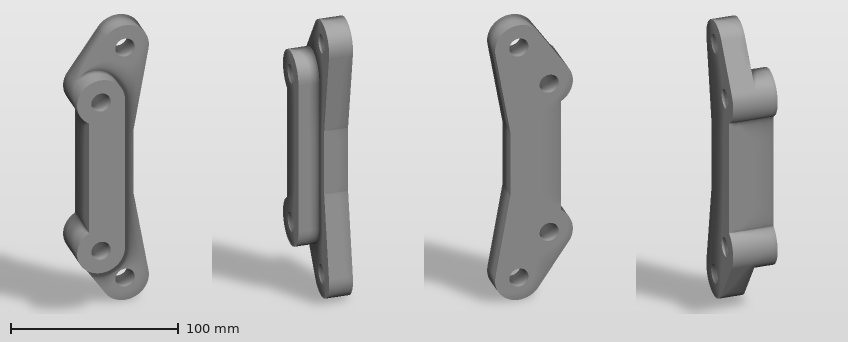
import cadquery as cq
import math

length = 185.0
width = 49.0
plate_thickness = 15.0
total_thickness = 28.1
lobe_radius = 15.0
hole_diameter = 12.0
boss_z = 50.0
waist_half_height = 21.3
waist_inset = 9.6
flank_overrun = math.radians(4)

end_y = width / 2 - lobe_radius
end_z = length / 2 - lobe_radius
boss_y = -end_y
waist_y = width / 2 - waist_inset
front_y = boss_y - lobe_radius / 2


def on_lobe(y, z, angle):
    """Point on the rounding centred at (y, z), angle in radians from +Y."""
    return (y + lobe_radius * math.cos(angle), z + lobe_radius * math.sin(angle))


def mirrored(point):
    """The same point on the lower half."""
    return (point[0], -point[1])


def build_plate():
    flank_angle = math.atan2(end_z - boss_z, end_y - boss_y) + math.pi / 2
    dy, dz = waist_y - end_y, waist_half_height - end_z
    back_angle = math.atan2(dz, dy) + math.acos(lobe_radius / math.hypot(dy, dz))
    front_angle = math.pi + math.acos((boss_y - front_y) / lobe_radius)

    waist = (waist_y, waist_half_height)
    end_back = on_lobe(end_y, end_z, back_angle)
    end_top = on_lobe(end_y, end_z, math.pi / 2)
    end_flank = on_lobe(end_y, end_z, flank_angle + flank_overrun)
    boss_flank = on_lobe(boss_y, boss_z, flank_angle - flank_overrun)
    boss_side = on_lobe(boss_y, boss_z, math.pi)
    boss_front = on_lobe(boss_y, boss_z, front_angle)

    return (
        cq.Workplane("YZ")
        .moveTo(*waist)
        .lineTo(*end_back)
        .threePointArc(end_top, end_flank)
        .lineTo(*boss_flank)
        .threePointArc(boss_side, boss_front)
        .lineTo(*mirrored(boss_front))
        .threePointArc(mirrored(boss_side), mirrored(boss_flank))
        .lineTo(*mirrored(end_flank))
        .threePointArc(mirrored(end_top), mirrored(end_back))
        .lineTo(*mirrored(waist))
        .close()
        .extrude(plate_thickness)
    )


def build_raised_pad():
    bosses = (
        cq.Workplane("YZ")
        .pushPoints([(boss_y, boss_z), (boss_y, -boss_z)])
        .circle(lobe_radius)
        .extrude(total_thickness)
    )
    web_width = boss_y + lobe_radius - front_y
    web = (
        cq.Workplane("YZ")
        .center(front_y + web_width / 2, 0)
        .rect(web_width, 2 * boss_z)
        .extrude(total_thickness)
    )
    return bosses.union(web)


def build_holes():
    centres = []
    for side in (1, -1):
        centres.append((end_y, side * end_z))
        centres.append((boss_y, side * boss_z))
    return (
        cq.Workplane("YZ")
        .pushPoints(centres)
        .circle(hole_diameter / 2)
        .extrude(total_thickness)
    )


result = build_plate().union(build_raised_pad()).cut(build_holes())